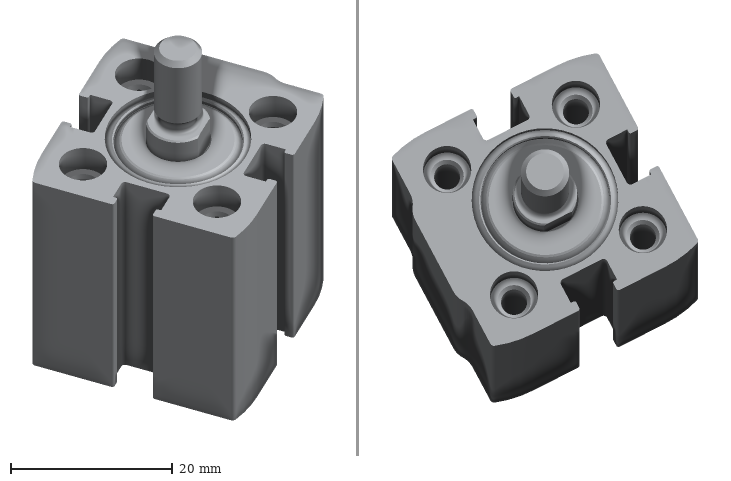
import cadquery as cq
import math

total_height = 45.5
housing_height = 30.5

width = 29.0
depth_with_crown = 30.0
crown_half_width = 5.1
crown_shoulder_radius = 3.0
flank_half_length = 9.25
flank_arc_radius = 15.0
corner_radius = 0.55

slot_floor = 10.0
slot_half_width = 3.25
mouth_half_width = 2.6
lip_thickness = 1.3
slot_floor_radius = 0.5
lip_radius = 0.3
lip_back_radius = 0.25

mount_pitch = 18.0
mount_diameter = 3.25
mount_chamfer_diameter = 4.15
counterbore_diameter = 6.0
counterbore_depth = 3.5

recess_radius = 9.1
recess_depth = 0.9
rim_radius = 8.2
rim_depth = 0.3
rim_chamfer = 0.2
inner_groove_radius = 8.0
inner_groove_floor_width = 0.1
inner_groove_depth = 0.95
cap_bevel_radius = 7.3
cap_bevel_depth = 0.35
cap_face_radius = 7.0
cap_face_depth = 0.25

rod_diameter = 8.0
rod_insertion = 10.0
rod_mouth_chamfer = 0.15
collar_top = 33.5
collar_chamfer_width = 0.25
collar_chamfer_height = 0.2
flat_half_distance = 3.5
flat_depth = 1.0
flat_runout_height = 0.27
thread_diameter = 6.0
thread_length = 9.87
neck_diameter = 4.7
neck_fillet = 0.5
undercut_fillet = 0.27

half_width = width / 2
crown_rise = depth_with_crown - width
rod_radius = rod_diameter / 2
thread_radius = thread_diameter / 2
neck_radius = neck_diameter / 2
thread_chamfer = thread_radius - neck_radius
cap_face_z = housing_height - cap_face_depth
rod_bottom = cap_face_z - rod_insertion


def housing_block():
    """Extruded outline: bowed flanks and a raised crown on the +Y side."""
    arc_angle = math.asin((half_width - flank_half_length) / flank_arc_radius)
    corner_x = half_width - flank_arc_radius * (1 - math.cos(arc_angle))
    mid_x = half_width - flank_arc_radius * (1 - math.cos(arc_angle / 2))
    mid_y = flank_half_length + flank_arc_radius * math.sin(arc_angle / 2)
    crown_y = half_width + crown_rise
    step_width = math.sqrt(crown_rise * (4 * crown_shoulder_radius - crown_rise))
    crown_foot_half_width = crown_half_width + step_width
    crown_mid = (crown_half_width + step_width / 2, half_width + crown_rise / 2)
    outline = (
        cq.Workplane("XY")
        .moveTo(-corner_x, -half_width)
        .lineTo(corner_x, -half_width)
        .threePointArc((mid_x, -mid_y), (half_width, -flank_half_length))
        .lineTo(half_width, flank_half_length)
        .threePointArc((mid_x, mid_y), (corner_x, half_width))
        .lineTo(crown_foot_half_width, half_width)
        .tangentArcPoint(crown_mid, relative=False)
        .tangentArcPoint((crown_half_width, crown_y), relative=False)
        .lineTo(-crown_half_width, crown_y)
        .tangentArcPoint((-crown_mid[0], crown_mid[1]), relative=False)
        .tangentArcPoint((-crown_foot_half_width, half_width), relative=False)
        .lineTo(-corner_x, half_width)
        .threePointArc((-mid_x, mid_y), (-half_width, flank_half_length))
        .lineTo(-half_width, -flank_half_length)
        .threePointArc((-mid_x, -mid_y), (-corner_x, -half_width))
        .close()
    )
    block = outline.extrude(housing_height)
    for x in (-corner_x, corner_x):
        for y in (-half_width, half_width):
            near_corner = cq.selectors.BoxSelector(
                (x - corner_radius, y - corner_radius, 0),
                (x + corner_radius, y + corner_radius, housing_height),
            )
            block = block.edges("|Z").edges(near_corner).fillet(corner_radius)
    return block


def slot_cutter(angle):
    """Undercut slot that opens on +X, turned about Z; its mouth flares round the lip edges."""
    lip_back = half_width - lip_thickness
    flare = mouth_half_width + lip_radius
    channel = (
        cq.Workplane("XY")
        .moveTo((slot_floor + lip_back) / 2, 0)
        .rect(lip_back - slot_floor, 2 * slot_half_width)
        .extrude(housing_height)
        .edges("|Z and <X")
        .fillet(slot_floor_radius)
    )
    arc_reach = lip_radius * (1 - math.sqrt(0.5))
    mouth = (
        cq.Workplane("XY")
        .moveTo(lip_back - lip_back_radius, -mouth_half_width - lip_back_radius)
        .lineTo(lip_back, -mouth_half_width - lip_back_radius)
        .radiusArc((lip_back + lip_back_radius, -mouth_half_width), lip_back_radius)
        .lineTo(half_width - lip_radius, -mouth_half_width)
        .threePointArc(
            (half_width - arc_reach, -mouth_half_width - arc_reach), (half_width, -flare)
        )
        .lineTo(half_width, flare)
        .threePointArc(
            (half_width - arc_reach, mouth_half_width + arc_reach),
            (half_width - lip_radius, mouth_half_width),
        )
        .lineTo(lip_back + lip_back_radius, mouth_half_width)
        .radiusArc((lip_back, mouth_half_width + lip_back_radius), lip_back_radius)
        .lineTo(lip_back - lip_back_radius, mouth_half_width + lip_back_radius)
        .close()
        .extrude(housing_height)
    )
    return channel.union(mouth).rotate((0, 0, 0), (0, 0, 1), angle)


def mount_cutter():
    """Through hole with a counterbore on top and a chamfer at the counterbore floor."""
    hole_radius = mount_diameter / 2
    chamfer_radius = mount_chamfer_diameter / 2
    bore_radius = counterbore_diameter / 2
    bore_floor = housing_height - counterbore_depth
    chamfer_bottom = bore_floor - (chamfer_radius - hole_radius)
    return (
        cq.Workplane("XZ")
        .polyline(
            [
                (0, 0),
                (hole_radius, 0),
                (hole_radius, chamfer_bottom),
                (chamfer_radius, bore_floor),
                (bore_radius, bore_floor),
                (bore_radius, housing_height),
                (0, housing_height),
            ]
        )
        .close()
        .revolve(360, (0, 0, 0), (0, 1, 0))
    )


def rod_bore_cutter():
    """Rod bore, the sunken cap face around it and the two sloped ring grooves."""
    rim_z = housing_height - rim_depth
    inner_groove_z = housing_height - inner_groove_depth
    return (
        cq.Workplane("XZ")
        .polyline(
            [
                (0, rod_bottom),
                (rod_radius, rod_bottom),
                (rod_radius, cap_face_z - rod_mouth_chamfer),
                (rod_radius + rod_mouth_chamfer, cap_face_z),
                (cap_face_radius, cap_face_z),
                (cap_bevel_radius, housing_height - cap_bevel_depth),
                (inner_groove_radius - inner_groove_floor_width, inner_groove_z),
                (inner_groove_radius, inner_groove_z),
                (inner_groove_radius, rim_z - rim_chamfer),
                (rim_radius, rim_z),
                (recess_radius, housing_height - recess_depth),
                (recess_radius, housing_height),
                (0, housing_height),
            ]
        )
        .close()
        .revolve(360, (0, 0, 0), (0, 1, 0))
    )


def make_housing():
    body = housing_block()
    for angle in (0, 180, 270):
        body = body.cut(slot_cutter(angle))
    mounts = cq.Workplane("XY").rect(mount_pitch, mount_pitch, forConstruction=True).vertices()
    cutter = mount_cutter().val()
    body = body.cut(mounts.eachpoint(lambda place: cutter.moved(place), combine=False))
    return body.cut(rod_bore_cutter())


def turned_rod():
    """Rod with a chamfered collar, a filleted neck and a smooth cylinder in place of the thread."""
    thread_bottom = total_height - thread_length
    fillet_reach = neck_fillet * (1 - math.sqrt(0.5))
    bevel_bottom = thread_bottom - thread_chamfer
    tangent_length = undercut_fillet * math.tan(math.pi / 8)
    bevel_reach = tangent_length * math.sqrt(0.5)
    return (
        cq.Workplane("XZ")
        .moveTo(0, rod_bottom)
        .lineTo(rod_radius, rod_bottom)
        .lineTo(rod_radius, collar_top - collar_chamfer_height)
        .lineTo(rod_radius - collar_chamfer_width, collar_top)
        .lineTo(neck_radius + neck_fillet, collar_top)
        .threePointArc(
            (neck_radius + fillet_reach, collar_top + fillet_reach),
            (neck_radius, collar_top + neck_fillet),
        )
        .lineTo(neck_radius, bevel_bottom - tangent_length)
        .tangentArcPoint((neck_radius + bevel_reach, bevel_bottom + bevel_reach), relative=False)
        .lineTo(thread_radius, thread_bottom)
        .lineTo(thread_radius, total_height - thread_chamfer)
        .lineTo(neck_radius, total_height)
        .lineTo(0, total_height)
        .close()
        .revolve(360, (0, 0, 0), (0, 1, 0))
    )


def flat_cutter(side):
    """Wrench flat on the +X (side = 1) or -X (side = -1) face, with a sloped lower end."""
    flat_bottom = cap_face_z - flat_depth
    return (
        cq.Workplane("XZ")
        .polyline(
            [
                (side * flat_half_distance, flat_bottom),
                (side * rod_radius, flat_bottom - flat_runout_height),
                (side * rod_radius, collar_top),
                (side * flat_half_distance, collar_top),
            ]
        )
        .close()
        .extrude(rod_radius, both=True)
    )


def make_rod():
    rod = turned_rod()
    for side in (-1, 1):
        rod = rod.cut(flat_cutter(side))
    return rod


housing = make_housing()
piston_rod = make_rod()

result = cq.Compound.makeCompound([housing.val(), piston_rod.val()])